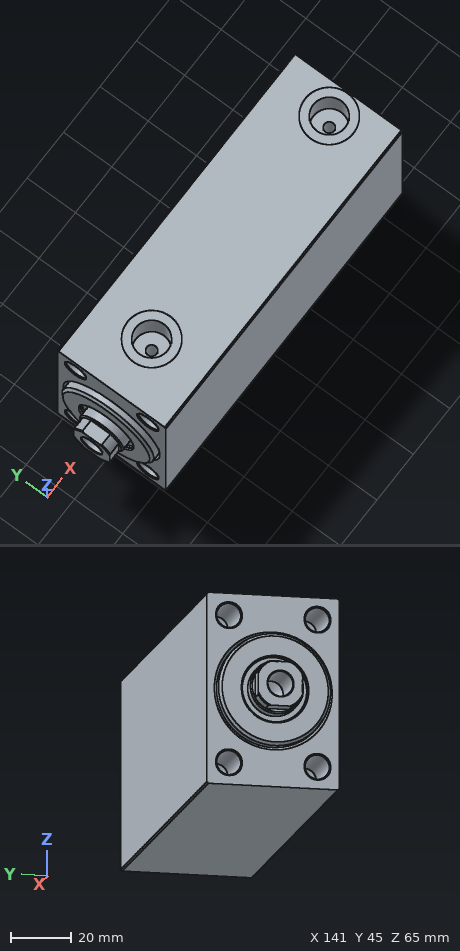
import cadquery as cq
import math


BLOCK_LENGTH = 130.0
BLOCK_WIDTH = 45.0
BLOCK_HEIGHT = 65.0
EDGE_CHAMFER = 0.5

MOUNT_SPACING_Y = 30.0
MOUNT_SPACING_Z = 50.0
MOUNT_DIAMETER = 8.2
MOUNT_RIM_DIAMETER = 9.0
MOUNT_DEPTH = 20.0

DRILL_POINT_ANGLE = 120.0

FIRST_PORT_X = 22.0
PORT_SPACING = 97.5
PORT_FACE_DIAMETER = 20.0
PORT_FACE_DEPTH = 0.1
PORT_DIAMETER = 13.2
PORT_DEPTH = 12.0
OIL_DIAMETER = 4.0

BUSH_DIAMETER = 38.0
BUSH_PROTRUSION = 3.0
BUSH_INSET = 12.0
BUSH_CHAMFER = 1.0
SEAT_CHAMFER = 1.0
WIPER_DIAMETER = 22.0
WIPER_DEPTH = 1.5
WIPER_STEP_DIAMETER = 22.8
WIPER_STEP_DEPTH = 0.75

ROD_DIAMETER = 18.0
ROD_PROTRUSION = 3.0
ROD_CHAMFER = 0.5
ROD_END_X = 124.0
ROD_HOLE_DIAMETER = 8.5
ROD_HOLE_RIM_DIAMETER = 9.0
ROD_HOLE_DEPTH = 15.0
WRENCH_DIAMETER = 17.0
WRENCH_FLATS = 15.0
WRENCH_LENGTH = 5.0
TIP_CHAMFER = 0.3

BUSH_FRONT_X = -BUSH_PROTRUSION
SHOULDER_X = BUSH_FRONT_X - ROD_PROTRUSION
ROD_TIP_X = SHOULDER_X - WRENCH_LENGTH


def rod_axis_cylinder(diameter, start_x, end_x):
    plane = cq.Workplane("YZ", origin=(start_x, 0, 0))
    return plane.circle(diameter / 2).extrude(end_x - start_x)


def port_cylinder(diameter, x, bottom_z, top_z):
    plane = cq.Workplane("XY", origin=(x, 0, bottom_z))
    return plane.circle(diameter / 2).extrude(top_z - bottom_z)


def drilled_hole(mouth_x, diameter, rim_diameter, depth):
    """Blind hole along +X with a chamfered rim and a conical drill point."""
    radius = diameter / 2
    rim_radius = rim_diameter / 2
    rim_depth = rim_radius - radius
    point_length = radius / math.tan(math.radians(DRILL_POINT_ANGLE / 2))
    profile = (
        cq.Workplane("XY")
        .moveTo(mouth_x, 0)
        .lineTo(mouth_x, rim_radius)
        .lineTo(mouth_x + rim_depth, radius)
        .lineTo(mouth_x + depth, radius)
        .lineTo(mouth_x + depth + point_length, 0)
        .close()
    )
    return profile.revolve(360, (0, 0, 0), (1, 0, 0))


def make_housing():
    block = cq.Workplane("XY").box(BLOCK_LENGTH, BLOCK_WIDTH, BLOCK_HEIGHT, centered=(False, True, True))
    block = block.edges("|X").chamfer(EDGE_CHAMFER)

    block = block.cut(rod_axis_cylinder(BUSH_DIAMETER, 0, BUSH_INSET))
    block = block.faces("<X").edges(cq.selectors.RadiusNthSelector(0)).chamfer(SEAT_CHAMFER)
    block = block.cut(rod_axis_cylinder(ROD_DIAMETER, BUSH_INSET, ROD_END_X))

    mounting_hole = drilled_hole(0, MOUNT_DIAMETER, MOUNT_RIM_DIAMETER, MOUNT_DEPTH)
    for y in (-MOUNT_SPACING_Y / 2, MOUNT_SPACING_Y / 2):
        for z in (-MOUNT_SPACING_Z / 2, MOUNT_SPACING_Z / 2):
            block = block.cut(mounting_hole.translate((0, y, z)))

    top_z = BLOCK_HEIGHT / 2
    rod_axis_z = 0
    for x in (FIRST_PORT_X, FIRST_PORT_X + PORT_SPACING):
        block = block.cut(port_cylinder(PORT_FACE_DIAMETER, x, top_z - PORT_FACE_DEPTH, top_z))
        block = block.cut(port_cylinder(PORT_DIAMETER, x, top_z - PORT_DEPTH, top_z))
        block = block.cut(port_cylinder(OIL_DIAMETER, x, rod_axis_z, top_z))
    return block


def make_bush():
    bush = rod_axis_cylinder(BUSH_DIAMETER, BUSH_FRONT_X, BUSH_INSET)
    bush = bush.faces("<X").chamfer(BUSH_CHAMFER)
    bush = bush.cut(rod_axis_cylinder(ROD_DIAMETER, BUSH_FRONT_X, BUSH_INSET))

    bush = bush.cut(rod_axis_cylinder(WIPER_STEP_DIAMETER, BUSH_FRONT_X, BUSH_FRONT_X + WIPER_STEP_DEPTH))
    return bush.cut(rod_axis_cylinder(WIPER_DIAMETER, BUSH_FRONT_X, BUSH_FRONT_X + WIPER_DEPTH))


def make_rod():
    shaft = rod_axis_cylinder(ROD_DIAMETER, SHOULDER_X, ROD_END_X)
    shaft = shaft.faces("<X").chamfer(ROD_CHAMFER)

    tip = rod_axis_cylinder(WRENCH_DIAMETER, ROD_TIP_X, SHOULDER_X)
    tip = tip.faces("<X").chamfer(TIP_CHAMFER)
    tip_plane = cq.Workplane("YZ", origin=(ROD_TIP_X, 0, 0))
    square = tip_plane.rect(WRENCH_FLATS, WRENCH_FLATS).extrude(WRENCH_LENGTH)
    rod = shaft.union(tip.intersect(square))
    return rod.cut(drilled_hole(ROD_TIP_X, ROD_HOLE_DIAMETER, ROD_HOLE_RIM_DIAMETER, ROD_HOLE_DEPTH))


housing = make_housing()
bush = make_bush()
rod = make_rod()

result = cq.Compound.makeCompound([housing.val(), bush.val(), rod.val()])